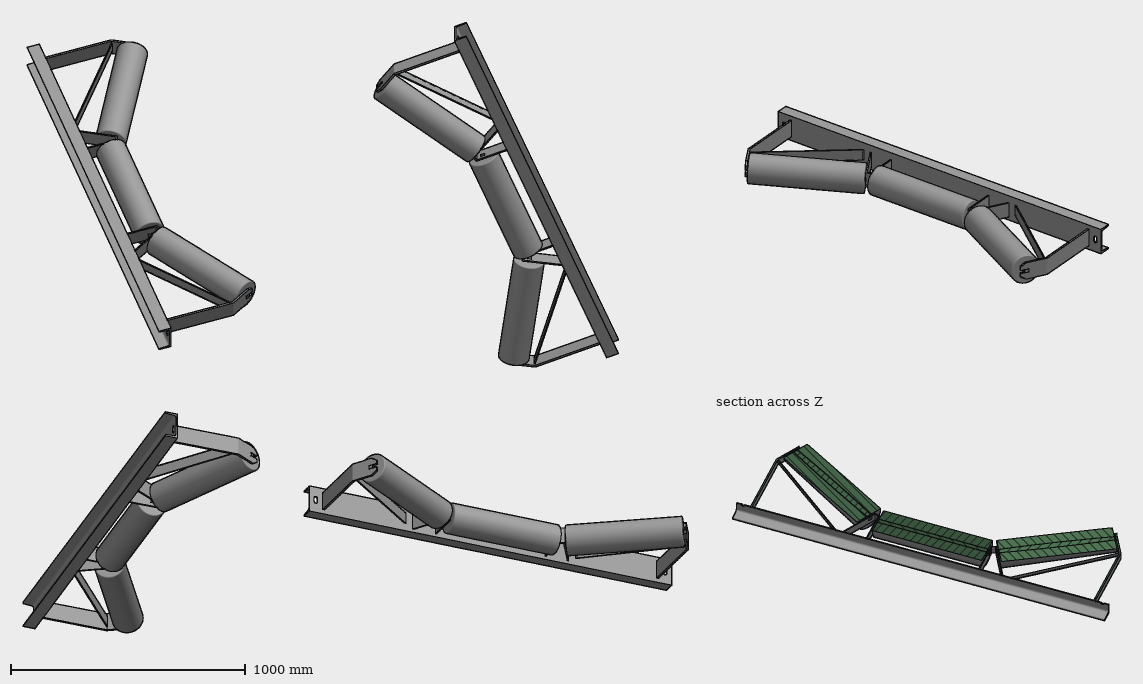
import cadquery as cq
import math


beam_length = 1700.0
beam_height = 120.0
flange_width = 55.0
web_thickness = 7.0
flange_thickness = 9.0
flange_taper = 0.08
flange_root_radius = 9.0
flange_tip_radius = 4.5
mount_slot_inset = 30.0
mount_slot_length = 32.0
mount_slot_width = 16.0

roller_diameter = 133.0
roller_radius = roller_diameter / 2
roller_length = 500.0
roller_edge_radius = 5.0
end_gap = 4.0
shaft_diameter = 25.0
tang_width = 18.0
tang_thickness = 15.0

trough_angle = 30.0
center_axis_y = 113.5
inner_axis_z = -20.0

strip_width = 80.0
inner_strip_width = 70.0
inner_strip_z = -10.0
outer_thickness = 9.0
inner_thickness = 6.0
post_outer_x = 788.0
post_bend_y = 303.0
post_bend_radius = 10.0
arm_length = 124.0
arm_axis_distance = 94.5
arm_chamfer_along = 24.0
arm_chamfer_across = 16.0
inner_post_top_y = 144.0
inner_arm_rise = 30.0

strut_width = 50.0
strut_thickness = 5.0
strut_top_y = 305.0
strut_foot_x = 398.0

sin_trough = math.sin(math.radians(trough_angle))
cos_trough = math.cos(math.radians(trough_angle))
arm_up = (sin_trough, cos_trough)
axis_inward = (cos_trough, -sin_trough)
wing_span = outer_thickness + 2 * end_gap + roller_length + inner_thickness
wing_tilt = math.asin(-inner_axis_z / wing_span)
center_span = roller_length + 2 * (end_gap + inner_thickness)


def moved(point, direction, distance):
    """Point shifted in the XY plane along a unit direction."""
    return (point[0] + direction[0] * distance, point[1] + direction[1] * distance)


post_bend = (-post_outer_x, post_bend_y)
wing_start = moved(post_bend, arm_up, arm_axis_distance)
wing_end = moved(wing_start, axis_inward, wing_span)

wing_plane = cq.Plane(
    origin=(wing_start[0], wing_start[1], 0),
    xDir=(arm_up[0], arm_up[1], 0),
    normal=(
        axis_inward[0] * math.cos(wing_tilt),
        axis_inward[1] * math.cos(wing_tilt),
        -math.sin(wing_tilt),
    ),
)
center_plane = cq.Plane(
    origin=(-center_span / 2, center_axis_y, inner_axis_z), xDir=(0, 1, 0), normal=(1, 0, 0)
)


def mirrored(body):
    """Copy of a left-hand body on the right-hand side."""
    return body.mirror("YZ")


def make_roller(plane, start):
    """Roller with rounded rims, bored for its shaft; start is its distance along the shaft."""
    return (
        cq.Workplane(plane)
        .workplane(offset=start)
        .circle(roller_radius)
        .extrude(roller_length)
        .edges()
        .fillet(roller_edge_radius)
        .cut(cq.Workplane(plane).workplane(offset=start).circle(shaft_diameter / 2).extrude(roller_length))
    )


def make_shaft(plane, start, span):
    """Round shaft with a rectangular tang on each end that sticks out of the roller."""
    tangs = cq.Workplane(plane).rect(tang_width, tang_thickness).extrude(span)
    journal = cq.Workplane(plane).workplane(offset=start).circle(shaft_diameter / 2).extrude(roller_length)
    return tangs.union(journal)


def make_strip(outline, width, center_z=0.0):
    """Strip standing on edge, from its XY outline."""
    base = cq.Workplane("XY").workplane(offset=center_z - width / 2)
    return base.polyline(outline).close().extrude(width)


def make_beam():
    """Channel with tapered flanges, rounded inside, and a mounting slot near each end."""
    half_height = beam_height / 2
    tip_change = flange_taper * flange_width / 2
    root_change = flange_taper * (flange_width / 2 - web_thickness)
    tip_z = half_height - flange_thickness + tip_change
    root_z = half_height - flange_thickness - root_change
    beam = (
        cq.Workplane("YZ")
        .polyline([
            (0, -half_height),
            (-flange_width, -half_height),
            (-flange_width, -tip_z),
            (-web_thickness, -root_z),
            (-web_thickness, root_z),
            (-flange_width, tip_z),
            (-flange_width, half_height),
            (0, half_height),
        ])
        .close()
        .extrude(beam_length / 2, both=True)
    )
    root_edges = [cq.NearestToPointSelector((0, -web_thickness, side * root_z)) for side in (-1, 1)]
    tip_edges = [cq.NearestToPointSelector((0, -flange_width, side * tip_z)) for side in (-1, 1)]
    beam = beam.edges(root_edges[0] + root_edges[1]).fillet(flange_root_radius)
    beam = beam.edges(tip_edges[0] + tip_edges[1]).fillet(flange_tip_radius)
    slot_x = beam_length / 2 - mount_slot_inset
    slots = (
        cq.Workplane("XZ")
        .pushPoints([(-slot_x, 0), (slot_x, 0)])
        .slot2D(mount_slot_length, mount_slot_width, 90)
        .extrude(web_thickness)
    )
    return beam.cut(slots)


def make_outer_bracket():
    """Post bent over into an arm with a chamfered tip and an open slot for the shaft."""
    tip = moved(post_bend, arm_up, arm_length)
    inner_bend_drop = outer_thickness * math.tan(math.radians(trough_angle / 2))
    bracket = make_strip([
        (-post_outer_x, 0),
        post_bend,
        tip,
        moved(tip, axis_inward, outer_thickness),
        (-post_outer_x + outer_thickness, post_bend_y - inner_bend_drop),
        (-post_outer_x + outer_thickness, 0),
    ], strip_width)
    bend_edge = cq.NearestToPointSelector((*post_bend, 0))
    bracket = bracket.edges(bend_edge).fillet(post_bend_radius)
    arm_plane = cq.Plane(
        origin=(tip[0], tip[1], 0),
        xDir=(arm_up[0], arm_up[1], 0),
        normal=(axis_inward[0], axis_inward[1], 0),
    )
    for side in (-1, 1):
        corner = (
            cq.Workplane(arm_plane)
            .polyline([
                (0, side * strip_width / 2),
                (-arm_chamfer_along, side * strip_width / 2),
                (0, side * (strip_width / 2 - arm_chamfer_across)),
            ])
            .close()
            .extrude(outer_thickness)
        )
        bracket = bracket.cut(corner)
    slot = (
        cq.Workplane(wing_plane)
        .center((arm_length - tang_width) / 2, 0)
        .rect(arm_length, tang_thickness)
        .extrude(2 * outer_thickness, both=True)
    )
    return bracket.cut(slot)


def make_inner_bracket():
    """Folded strip: an arm across the wing axis, a short bridge and an upright post."""
    post_near_x = center_span / 2 - inner_thickness
    post_far_x = center_span / 2
    arm_top = moved(wing_end, arm_up, inner_arm_rise)
    arm_foot = moved(wing_end, arm_up, -wing_end[1] / arm_up[1])
    arm_under_bridge = moved(arm_top, arm_up, -inner_thickness)
    foot_width = inner_thickness / arm_up[1]
    return make_strip([
        (arm_foot[0] - foot_width, 0),
        moved(arm_top, axis_inward, -inner_thickness),
        (-post_near_x, inner_post_top_y),
        (-post_near_x, 0),
        (-post_far_x, 0),
        (-post_far_x, inner_post_top_y - inner_thickness),
        arm_under_bridge,
        arm_foot,
    ], inner_strip_width, inner_strip_z)


def make_strut():
    """Flat brace from the outer bend down to the beam."""
    top = (-post_outer_x + outer_thickness, strut_top_y)
    strut_slope = math.atan2(top[1], -strut_foot_x - top[0])
    foot_width = strut_thickness / math.sin(strut_slope)
    top_height = strut_thickness / math.cos(strut_slope)
    return make_strip([
        (-strut_foot_x, 0),
        top,
        (top[0], top[1] - top_height),
        (-strut_foot_x - foot_width, 0),
    ], strut_width)


def make_frame(shafts):
    """One welded frame, with openings where the shafts pass through the brackets."""
    frame = make_beam()
    for part in (make_outer_bracket(), make_inner_bracket(), make_strut()):
        frame = frame.union(part).union(mirrored(part))
    for shaft in shafts:
        frame = frame.cut(shaft)
    return frame


wing_roller_start = outer_thickness + end_gap
wing_roller = make_roller(wing_plane, wing_roller_start)
wing_shaft = make_shaft(wing_plane, wing_roller_start, wing_span)

center_roller_start = inner_thickness + end_gap
center_roller = make_roller(center_plane, center_roller_start)
center_shaft = make_shaft(center_plane, center_roller_start, center_span)

rollers = [wing_roller, center_roller, mirrored(wing_roller)]
shafts = [wing_shaft, center_shaft, mirrored(wing_shaft)]
frame = make_frame(shafts)

result = cq.Compound.makeCompound([body.val() for body in [frame, *rollers, *shafts]])